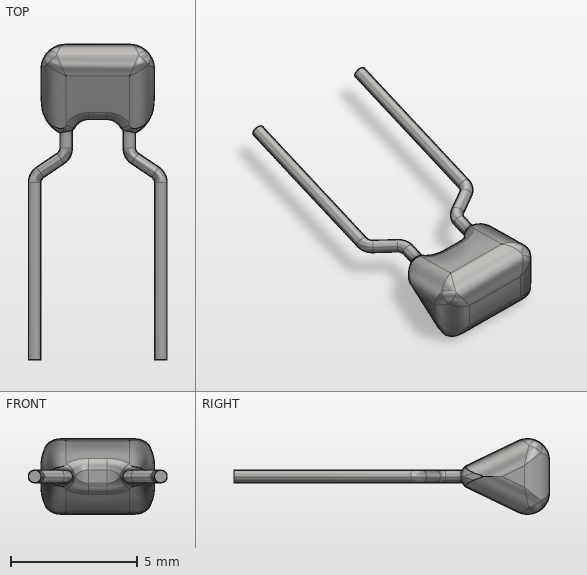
import cadquery as cq
import math


body_width = 4.5
body_height = 3.0
body_depth = 3.54
back_radius = 0.88
side_radius = 1.0
corner_radius = 0.5
nose_radius = 0.5

lobe_x = 1.34
lobe_radius = 0.51
shoulder_radius = 1.5
notch_depth = 2.99
notch_radius = 0.62

lead_radius = 0.25
inner_lead_x = 1.25
outer_lead_x = 2.5
lead_start_depth = 3.0
bend_start_depth = 4.11
lead_end_depth = 12.5
bend_radius = 0.5
bend_angle = math.radians(56)

back_center_z = body_height / 2 - back_radius
nose_center_depth = body_depth - nose_radius
center_run = nose_center_depth - back_radius
slope = math.atan2(back_center_z, center_run) + math.asin(
    (back_radius - nose_radius) / math.hypot(center_run, back_center_z)
)


def slope_height(depth):
    """Height of the upper sloping plane at a given depth."""
    offset = back_radius / math.cos(slope)
    return back_center_z + offset - (depth - back_radius) * math.tan(slope)


trim_depth = 5.62
trim_floor = -5.0


def sloped_prism(half_width):
    """A prism under the upper sloping plane, reaching far below the coating."""
    return (
        cq.Workplane("YZ")
        .moveTo(0, trim_floor)
        .lineTo(0, slope_height(0))
        .lineTo(-trim_depth, slope_height(trim_depth))
        .lineTo(-trim_depth, trim_floor)
        .close()
        .extrude(half_width, both=True)
    )


def side_block():
    """The sloped prism with its back and its sides rounded, blended at the corners."""
    block = sloped_prism(body_width / 2)
    back_rounded = block.edges("|X").edges(">Z").fillet(back_radius)
    rim = block.faces("<X or >X").edges("not(<Z or <Y)")
    block = rim.fillet(side_radius).intersect(back_rounded)
    seams = block.edges("%BSPLINE or %ELLIPSE").edges("not(<Y)")
    return seams.fillet(corner_radius)


def front_outline():
    """Plan outline of the coating with the notch and lobes along its front."""
    half_width = body_width / 2
    lobe_depth = body_depth - lobe_radius

    notch_center_depth = notch_depth + notch_radius
    reach = notch_radius + lobe_radius
    notch_x = lobe_x - math.sqrt(reach**2 - (notch_center_depth - lobe_depth) ** 2)
    notch_end = math.atan2(notch_center_depth - lobe_depth, lobe_x - notch_x)

    shoulder_x = half_width - shoulder_radius
    shoulder_gap = shoulder_radius - lobe_radius
    shoulder_depth = lobe_depth - math.sqrt(shoulder_gap**2 - (lobe_x - shoulder_x) ** 2)
    shoulder_end = -math.atan2(lobe_depth - shoulder_depth, lobe_x - shoulder_x)

    def on_arc(side, x, depth, radius, angle):
        return side * (x + radius * math.cos(angle)), -depth + radius * math.sin(angle)

    def shoulder(side, angle):
        return on_arc(side, shoulder_x, shoulder_depth, shoulder_radius, angle)

    def lobe(side, angle):
        return on_arc(side, lobe_x, lobe_depth, lobe_radius, angle)

    def notch(side, angle):
        return on_arc(side, notch_x, notch_center_depth, notch_radius, angle)

    lobe_inner = notch_end - math.pi
    quarter = math.pi / 2
    return (
        cq.Workplane("XY")
        .workplane(offset=trim_floor)
        .moveTo(-half_width, 0)
        .lineTo(half_width, 0)
        .lineTo(*shoulder(1, 0))
        .threePointArc(shoulder(1, shoulder_end / 2), shoulder(1, shoulder_end))
        .threePointArc(lobe(1, (shoulder_end + lobe_inner) / 2), lobe(1, lobe_inner))
        .threePointArc(notch(1, (notch_end + quarter) / 2), notch(1, quarter))
        .lineTo(*notch(-1, quarter))
        .threePointArc(notch(-1, (notch_end + quarter) / 2), notch(-1, notch_end))
        .threePointArc(lobe(-1, (shoulder_end + lobe_inner) / 2), lobe(-1, shoulder_end))
        .threePointArc(shoulder(-1, shoulder_end / 2), shoulder(-1, 0))
        .close()
    )


def front_block():
    """The notched outline under the sloping plane, with its upper rim rounded."""
    outline = front_outline().extrude(body_height - trim_floor)
    block = outline.intersect(sloped_prism(body_width))
    slope_normal = cq.Vector(0, -math.sin(slope), math.cos(slope))
    rim = block.faces(cq.selectors.ParallelDirSelector(slope_normal))
    return rim.edges("not(>Y)").fillet(nose_radius)


def make_coating():
    upper = side_block().intersect(front_block())
    return upper.intersect(upper.mirror("XY"))


def make_lead(side):
    """A round wire with two opposite bends that spread it outward."""
    bend_shift = bend_radius * (1 - math.cos(bend_angle))
    bend_length = bend_radius * math.sin(bend_angle)
    spread = outer_lead_x - inner_lead_x - 2 * bend_shift
    slant_length = spread / math.tan(bend_angle)
    first_end = bend_start_depth + bend_length
    second_start = first_end + slant_length
    second_end = second_start + bend_length
    half_shift = bend_radius * (1 - math.cos(bend_angle / 2))
    half_length = bend_radius * math.sin(bend_angle / 2)

    def point(x, depth):
        return side * x, -depth

    path = (
        cq.Workplane("XY")
        .moveTo(*point(inner_lead_x, lead_start_depth))
        .lineTo(*point(inner_lead_x, bend_start_depth))
        .threePointArc(
            point(inner_lead_x + half_shift, bend_start_depth + half_length),
            point(inner_lead_x + bend_shift, first_end),
        )
        .lineTo(*point(outer_lead_x - bend_shift, second_start))
        .threePointArc(
            point(outer_lead_x - half_shift, second_end - half_length),
            point(outer_lead_x, second_end),
        )
        .lineTo(*point(outer_lead_x, lead_end_depth))
    )
    start = (side * inner_lead_x, -lead_start_depth, 0)
    return cq.Workplane("XZ", origin=start).circle(lead_radius).sweep(path)


leads = [make_lead(side) for side in (-1, 1)]

coating = make_coating()
for lead in leads:
    coating = coating.cut(lead)

result = cq.Compound.makeCompound([coating.val(), *[lead.val() for lead in leads]])